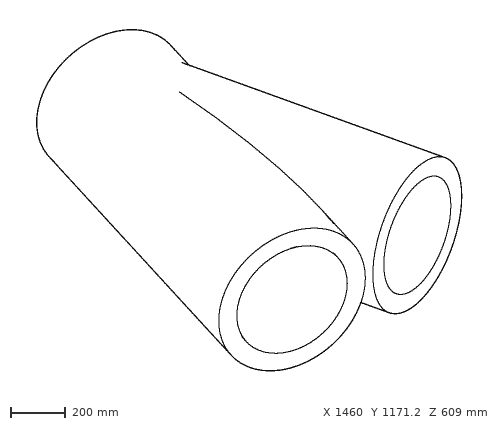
import cadquery as cq

outer_diameter = 609.0
bore_diameter = 459.0
run_length = 1460.0
branch_offset = 255.0
branch_length = 1206.0
branch_angle = 30.0


def run_cylinder(diameter):
    """Cylinder along X over the full length of the run."""
    return cq.Workplane("YZ").circle(diameter / 2).extrude(run_length)


def branch_cylinder(diameter):
    """Cylinder from the axis crossing to the open end of the branch."""
    cylinder = cq.Workplane("YZ").circle(diameter / 2).extrude(branch_length)
    return cylinder.rotate((0, 0, 0), (0, 0, 1), branch_angle).translate((branch_offset, 0, 0))


outer_body = run_cylinder(outer_diameter).union(branch_cylinder(outer_diameter))
result = outer_body.cut(run_cylinder(bore_diameter)).cut(branch_cylinder(bore_diameter))